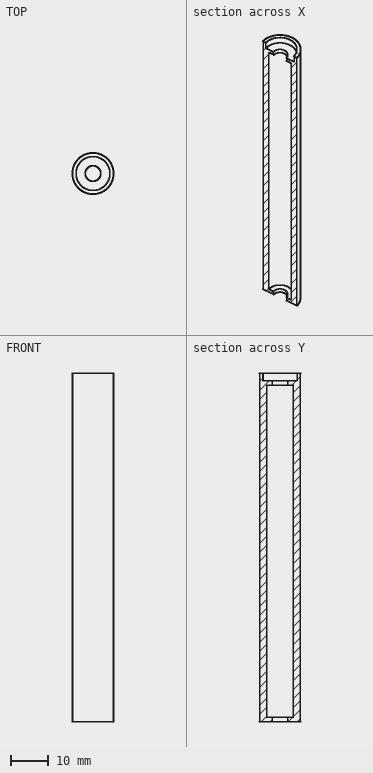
import cadquery as cq

LENGTH = 92.5
OUTER_DIAMETER = 11.0
RECESS_DIAMETER = 9.0
RECESS_DEPTH = 2.0
HOLE_DIAMETER = 4.06
CAVITY_DIAMETER = 7.0
END_WALL = 1.25

recess_floor = LENGTH - RECESS_DEPTH
cavity_top = recess_floor - END_WALL
cavity_bottom = END_WALL


def cylinder(diameter, bottom, top):
    """Solid cylinder on the Z axis between two heights."""
    return cq.Workplane("XY", origin=(0, 0, bottom)).circle(diameter / 2).extrude(top - bottom)


rod = cylinder(OUTER_DIAMETER, 0, LENGTH)
top_recess = cylinder(RECESS_DIAMETER, recess_floor, LENGTH)
through_hole = cylinder(HOLE_DIAMETER, 0, LENGTH)
cavity = cylinder(CAVITY_DIAMETER, cavity_bottom, cavity_top)

result = rod.cut(top_recess).cut(through_hole).cut(cavity)